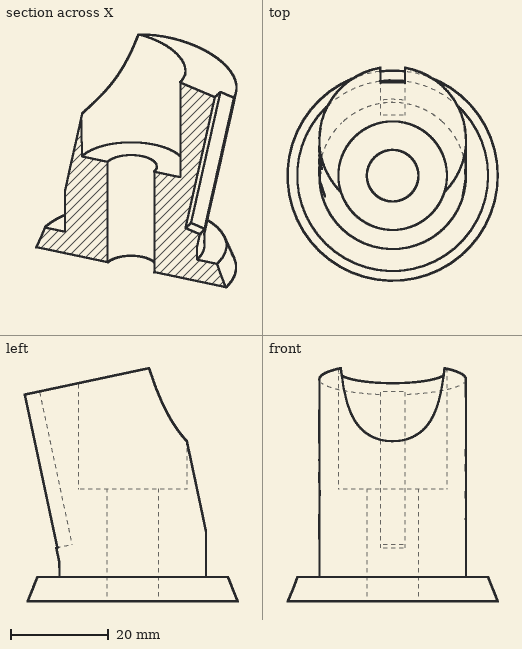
import cadquery as cq
import math

foot_bottom_diameter = 43.0
foot_top_diameter = 39.0
foot_height = 5.0

body_diameter = 30.0
body_radius = body_diameter / 2
collar_short_side = 3.0
tilt_angle = 12.0
tilt = math.radians(tilt_angle)

body_length = 35.0
seam_height = foot_height + collar_short_side + body_radius * math.tan(tilt)
body_half_depth = body_radius / math.cos(tilt)

socket_diameter = 22.2
socket_floor_height = 23.0
through_hole_diameter = 10.5

slot_width = 5.0
slot_floor_offset = 12.0
slot_start = 3.0

clear_height = seam_height + body_length + body_diameter


def leaning_plane():
    """Plane of the slanted seam: local X along +X, local Y along the slope toward +Y."""
    return cq.Plane(
        origin=(0, 0, seam_height),
        xDir=(1, 0, 0),
        normal=(0, math.sin(tilt), math.cos(tilt)),
    )


def make_foot():
    taper = math.degrees(math.atan2((foot_bottom_diameter - foot_top_diameter) / 2, foot_height))
    return cq.Workplane("XY").circle(foot_bottom_diameter / 2).extrude(foot_height, taper=taper)


def make_collar():
    column = cq.Workplane("XY").circle(body_radius).extrude(clear_height)
    above_seam = (
        cq.Workplane(leaning_plane())
        .rect(2 * body_diameter, 2 * body_diameter)
        .extrude(clear_height)
    )
    return column.cut(above_seam)


def make_leaning_body():
    return (
        cq.Workplane(leaning_plane())
        .ellipse(body_radius, body_half_depth)
        .extrude(body_length)
    )


def make_bore():
    socket = (
        cq.Workplane("XY", origin=(0, 0, socket_floor_height))
        .circle(socket_diameter / 2)
        .extrude(clear_height - socket_floor_height)
    )
    through_hole = cq.Workplane("XY").circle(through_hole_diameter / 2).extrude(clear_height)
    return socket.union(through_hole)


def make_key_slot():
    return (
        cq.Workplane(leaning_plane())
        .workplane(offset=slot_start)
        .center(0, slot_floor_offset)
        .box(slot_width, body_radius, body_length, centered=(True, False, False))
    )


result = make_foot().union(make_collar()).union(make_leaning_body())
result = result.cut(make_bore()).cut(make_key_slot())